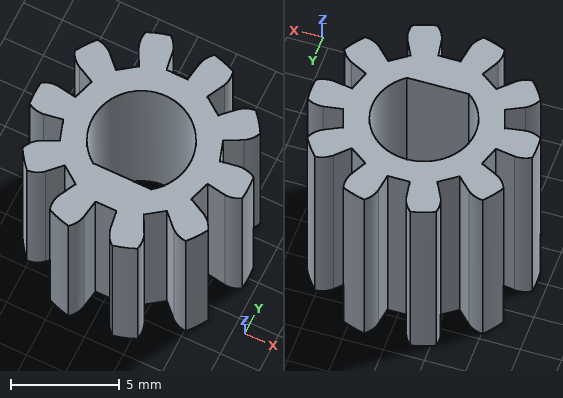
import cadquery as cq
import math

TOOTH_COUNT = 10
LENGTH = 10.0
TIP_RADIUS = 5.5
TIP_HALF_WIDTH = 0.59
ROOT_RADIUS = 3.76
ROOT_HALF_WIDTH = 0.64
FLANK_START = (4.65, 0.79)
FLANK_MIDDLE = (5.08, 0.76)
BORE_RADIUS = 2.52
BORE_FLAT_OFFSET = 2.02

tip_corner = (math.sqrt(TIP_RADIUS**2 - TIP_HALF_WIDTH**2), TIP_HALF_WIDTH)
root_corner = (math.sqrt(ROOT_RADIUS**2 - ROOT_HALF_WIDTH**2), ROOT_HALF_WIDTH)


def mirrored(point):
    """Reflect a point across the tooth centreline."""
    return point[0], -point[1]


def make_tooth():
    """One tooth with straight lower flanks, arched upper flanks and a round tip."""
    return (
        cq.Workplane("XY")
        .moveTo(0, 0)
        .lineTo(*mirrored(root_corner))
        .lineTo(*mirrored(FLANK_START))
        .threePointArc(mirrored(FLANK_MIDDLE), mirrored(tip_corner))
        .threePointArc((TIP_RADIUS, 0), tip_corner)
        .threePointArc(FLANK_MIDDLE, FLANK_START)
        .lineTo(*root_corner)
        .close()
        .extrude(LENGTH)
    )


def make_core():
    """Prism whose sides form the flat floors of the tooth gaps."""
    half_angle = math.asin(ROOT_HALF_WIDTH / ROOT_RADIUS)
    corners = []
    for index in range(TOOTH_COUNT):
        centre_angle = index * 2 * math.pi / TOOTH_COUNT
        for angle in (centre_angle - half_angle, centre_angle + half_angle):
            corners.append((ROOT_RADIUS * math.cos(angle), ROOT_RADIUS * math.sin(angle)))
    return cq.Workplane("XY").polyline(corners).close().extrude(LENGTH)


def make_bore():
    """D-shaped through bore with its flat on the -Y side."""
    flat_half_width = math.sqrt(BORE_RADIUS**2 - BORE_FLAT_OFFSET**2)
    return (
        cq.Workplane("XY")
        .moveTo(-flat_half_width, -BORE_FLAT_OFFSET)
        .threePointArc((0, BORE_RADIUS), (flat_half_width, -BORE_FLAT_OFFSET))
        .close()
        .extrude(LENGTH)
    )


gear = make_core()
tooth = make_tooth()
for tooth_index in range(TOOTH_COUNT):
    tooth_angle = tooth_index * 360 / TOOTH_COUNT
    gear = gear.union(tooth.rotate((0, 0, 0), (0, 0, 1), tooth_angle))

result = gear.cut(make_bore())